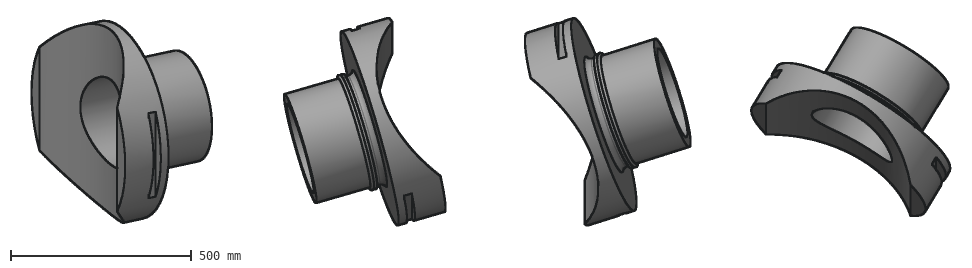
import cadquery as cq
import math

flange_radius = 280.0
flange_depth = 135.5
total_depth = 336.0
pipe_radius = 157.5
bore_radius = 129.0

saddle_radius = 315.0
saddle_rise = 101.5

slot_start = 88.5
slot_width = 23.0
slot_depth = 31.5

bead_start = 162.0
bead_width = 9.5
bead_count = 2
bead_outer_radius = 166.5

root_height = 18.0
root_spread = 10.5

overlap = 5.5


def cylinder_along_y(radius, start, end):
    """Solid cylinder on the Y axis between two Y positions."""
    return cq.Workplane("XZ", origin=(0, start, 0)).circle(radius).extrude(start - end)


def revolve_about_y(profile):
    """Turn a closed XY profile fully around the Y axis."""
    return profile.revolve(360, (0, 0, 0), (0, 1, 0))


def pipe_bead(start):
    """Ring around the pipe with straight sides and a half-round rim."""
    tip_radius = bead_width / 2
    shoulder = bead_outer_radius - tip_radius
    profile = (
        cq.Workplane("XY")
        .moveTo(pipe_radius - overlap, start)
        .lineTo(shoulder, start)
        .threePointArc((bead_outer_radius, start + tip_radius), (shoulder, start + bead_width))
        .lineTo(pipe_radius - overlap, start + bead_width)
        .close()
    )
    return revolve_about_y(profile)


def root_flare():
    """Concave arc that leaves the pipe wall tangentially and widens to the flange."""
    arc_radius = (root_height**2 + root_spread**2) / (2 * root_spread)
    half_angle = math.asin(root_height / arc_radius) / 2
    root_top = flange_depth + root_height
    arc_middle = (
        pipe_radius + arc_radius * (1 - math.cos(half_angle)),
        root_top - arc_radius * math.sin(half_angle),
    )
    profile = (
        cq.Workplane("XY")
        .moveTo(pipe_radius - overlap, flange_depth)
        .lineTo(pipe_radius + root_spread, flange_depth)
        .threePointArc(arc_middle, (pipe_radius, root_top))
        .lineTo(pipe_radius - overlap, root_top)
        .close()
    )
    return revolve_about_y(profile)


def side_slot(side):
    """Straight slot across the flange edge; side is -1 for -X and +1 for +X."""
    slot_length = 2 * flange_radius
    cutter_depth = slot_depth + overlap
    center_x = side * (flange_radius - slot_depth + cutter_depth / 2)
    center_y = slot_start + slot_width / 2
    return cq.Workplane("XY").box(cutter_depth, slot_width, slot_length).translate((center_x, center_y, 0))


result = cylinder_along_y(flange_radius, 0, flange_depth)
result = result.union(cylinder_along_y(pipe_radius, flange_depth - overlap, total_depth))
result = result.union(root_flare())

for index in range(bead_count):
    result = result.union(pipe_bead(bead_start + index * bead_width))

saddle = (
    cq.Workplane("XY")
    .center(0, saddle_rise - saddle_radius)
    .circle(saddle_radius)
    .extrude(flange_radius + overlap, both=True)
)
result = result.cut(saddle)

for side in (-1, 1):
    result = result.cut(side_slot(side))

result = result.cut(cylinder_along_y(bore_radius, -overlap, total_depth + overlap))